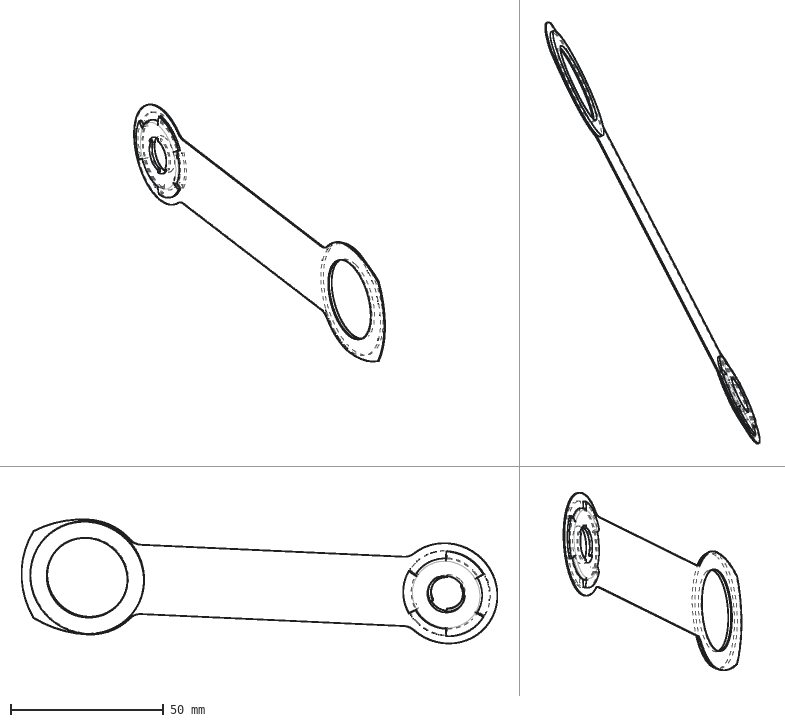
import cadquery as cq
import math


plate_thickness = 0.4
arm_half_width = 11.75
hub_end_radius = 17.0
head_distance = 120.0
head_radius = 19.5
head_hole_radius = 13.5
neck_fillet = 5.0
tip_x = 142.1
corner_x = 138.1
corner_z = 14.7

ring_radius = 19.0
ring_thickness = 1.0

hub_thickness = 2.55
core_radius = 11.9
core_edge_radius = 0.6
lug_radius = 14.4
lug_edge_drop = 0.4
lug_count = 3
lug_angle = 180.0 / lug_count
front_lug_start = 30.0
back_lug_start = front_lug_start + lug_angle

bore_radius = 5.35
key_slot_radius = 6.2
key_slot_angle = 60.0
key_slot_starts = (90.0, 270.0)

pocket_radius = key_slot_radius
pocket_depth = 1.55

half_plate = plate_thickness / 2
half_hub = hub_thickness / 2
flat_radius = core_radius - core_edge_radius


def polar(radius, degrees):
    """Point in the XZ plane, with the angle measured from +X toward +Z."""
    angle = math.radians(degrees)
    return (radius * math.cos(angle), radius * math.sin(angle))


def cylinder(radius, y_front, y_back, x=0.0):
    """Cylinder along Y between two Y positions, with its axis at the given X."""
    return (
        cq.Workplane("XZ", origin=(x, y_front, 0))
        .circle(radius)
        .extrude(y_front - y_back)
    )


def below(point):
    """Mirror image of an outline point across the long axis of the strap."""
    return (point[0], -point[1])


def make_plate():
    fillet_z = arm_half_width + neck_fillet
    hub_reach = hub_end_radius + neck_fillet
    head_reach = head_radius + neck_fillet
    hub_fillet_x = math.sqrt(hub_reach**2 - fillet_z**2)
    head_fillet_x = math.sqrt(head_reach**2 - fillet_z**2)
    hub_touch = (
        hub_fillet_x * hub_end_radius / hub_reach,
        fillet_z * hub_end_radius / hub_reach,
    )
    head_touch = (
        head_distance - head_fillet_x * head_radius / head_reach,
        fillet_z * head_radius / head_reach,
    )
    arm_start = (hub_fillet_x, arm_half_width)
    arm_end = (head_distance - head_fillet_x, arm_half_width)
    head_top = (head_distance, head_radius)
    corner = (corner_x, corner_z)

    shoulder_run = corner_x - head_distance
    shoulder_drop = head_radius - corner_z
    shoulder_radius = (shoulder_run**2 + shoulder_drop**2) / (2 * shoulder_drop)

    outline = (
        cq.Workplane("XZ", origin=(0, half_plate, 0))
        .moveTo(*below(hub_touch))
        .threePointArc((-hub_end_radius, 0), hub_touch)
        .radiusArc(arm_start, -neck_fillet)
        .lineTo(*arm_end)
        .radiusArc(head_touch, -neck_fillet)
        .radiusArc(head_top, head_radius)
        .radiusArc(corner, shoulder_radius)
        .threePointArc((tip_x, 0), below(corner))
        .radiusArc(below(head_top), shoulder_radius)
        .radiusArc(below(head_touch), head_radius)
        .radiusArc(below(arm_end), -neck_fillet)
        .lineTo(*below(arm_start))
        .radiusArc(below(hub_touch), -neck_fillet)
        .close()
    )
    plate = outline.extrude(plate_thickness)
    hub_hole = cylinder(core_radius, half_plate, -half_plate)
    head_hole = cylinder(head_hole_radius, half_plate, -half_plate, head_distance)
    return plate.cut(hub_hole).cut(head_hole)


def make_ring():
    back = half_plate + ring_thickness
    disc = cylinder(ring_radius, back, half_plate, head_distance)
    return disc.cut(cylinder(head_hole_radius, back, half_plate, head_distance))


def make_lug(side, start_angle):
    """One lug on the front (side -1) or back (side 1), its outer face curving down to the rim."""
    curve_run = lug_radius - flat_radius
    curve_radius = (curve_run**2 + lug_edge_drop**2) / (2 * lug_edge_drop)
    mid_run = curve_run / 2
    mid_drop = curve_radius - math.sqrt(curve_radius**2 - mid_run**2)
    profile = (
        cq.Workplane("XY")
        .moveTo(bore_radius, side * half_plate)
        .lineTo(lug_radius, side * half_plate)
        .lineTo(lug_radius, side * (half_hub - lug_edge_drop))
        .threePointArc(
            (flat_radius + mid_run, side * (half_hub - mid_drop)),
            (flat_radius, side * half_hub),
        )
        .lineTo(bore_radius, side * half_hub)
        .close()
    )
    lug = profile.revolve(lug_angle, (0, 0, 0), (0, -1, 0))
    return lug.rotate((0, 0, 0), (0, 1, 0), -start_angle)


def make_key_slot(start_angle):
    """Sector cutter through the whole hub, widening the bore on one side."""
    return (
        cq.Workplane("XZ", origin=(0, half_hub, 0))
        .lineTo(*polar(key_slot_radius, start_angle))
        .threePointArc(
            polar(key_slot_radius, start_angle + key_slot_angle / 2),
            polar(key_slot_radius, start_angle + key_slot_angle),
        )
        .close()
        .extrude(hub_thickness)
    )


def make_hub():
    hub = cylinder(core_radius, half_hub, -half_hub).edges().fillet(core_edge_radius)
    for index in range(lug_count):
        turn = index * 360.0 / lug_count
        hub = hub.union(make_lug(-1, front_lug_start + turn))
        hub = hub.union(make_lug(1, back_lug_start + turn))
    hub = hub.cut(cylinder(bore_radius, half_hub, -half_hub))
    for start_angle in key_slot_starts:
        hub = hub.cut(make_key_slot(start_angle))
    return hub.cut(cylinder(pocket_radius, half_hub, half_hub - pocket_depth))


plate = make_plate()
ring = make_ring()
hub = make_hub()

result = cq.Compound.makeCompound([plate.val(), ring.val(), hub.val()])